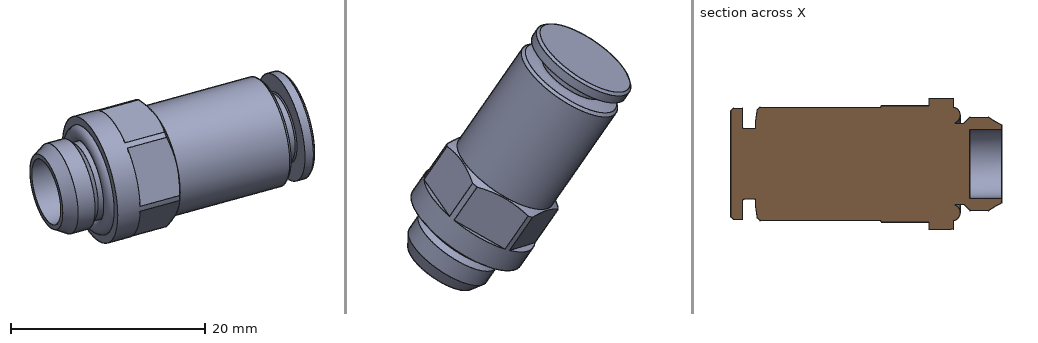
import cadquery as cq
import math

length = 27.9

tip_radius = 4.02
thread_radius = 4.83
relief_radius = 4.18
tip_chamfer_length = 1.37
thread_end = 3.3
relief_start = thread_end + thread_radius - relief_radius
bore_radius = 3.52
bore_depth = 3.3

seal_front = 4.27
seal_center_radius = 5.02
seal_section_radius = 0.86

flange_radius = 6.75
flange_front = 4.97
flange_back = 7.5
hex_across_flats = 12.0
hex_sides = 6
hex_back = 12.47
hex_chamfer_angle = math.radians(30)

body_radius = 5.85
body_chamfer = 0.3
body_chamfer_end = 25.2
body_end = 25.4
end_face_radius = 4.18

collar_neck_radius = 3.65
collar_radius = 5.75
collar_front = 26.67
collar_edge_chamfer = 0.28
neck_flare = 0.15


def turned(points):
    """Revolve a closed (radius, y) outline about the Y axis."""
    return cq.Workplane("XY").polyline(points).close().revolve(360, (0, 0, 0), (0, 1, 0))


def make_spigot():
    return turned([
        (0, 0),
        (tip_radius, 0),
        (thread_radius, tip_chamfer_length),
        (thread_radius, thread_end),
        (relief_radius, relief_start),
        (relief_radius, flange_front),
        (0, flange_front),
    ])


def make_seal():
    """Round-section ring, partly sunk into the flange and the spigot relief."""
    return (
        cq.Workplane("XY")
        .center(seal_center_radius, seal_front + seal_section_radius)
        .circle(seal_section_radius)
        .revolve(360, (-seal_center_radius, 0, 0), (-seal_center_radius, 1, 0))
    )


def make_flange():
    return turned([
        (0, flange_front),
        (flange_radius, flange_front),
        (flange_radius, flange_back),
        (0, flange_back),
    ])


def make_hexagon():
    """Hexagon with flats facing +Z and -Z, rounded at the corners and chamfered behind."""
    chamfer_length = (flange_radius - body_radius) * math.tan(hex_chamfer_angle)
    envelope = turned([
        (0, flange_back),
        (flange_radius, flange_back),
        (flange_radius, hex_back - chamfer_length),
        (body_radius, hex_back),
        (0, hex_back),
    ])
    across_corners = hex_across_flats / math.cos(math.pi / hex_sides)
    prism = (
        cq.Workplane("XZ", origin=(0, flange_back, 0))
        .polygon(hex_sides, across_corners)
        .extrude(flange_back - hex_back)
    )
    return envelope.intersect(prism)


def make_body():
    return turned([
        (0, flange_back),
        (body_radius, flange_back),
        (body_radius, body_chamfer_end - body_chamfer),
        (body_radius - body_chamfer, body_chamfer_end),
        (end_face_radius, body_end),
        (0, body_end),
    ])


def make_collar():
    return turned([
        (0, body_end),
        (collar_neck_radius, body_end),
        (collar_neck_radius, collar_front - neck_flare),
        (collar_neck_radius + neck_flare, collar_front),
        (collar_radius, collar_front),
        (collar_radius, length - collar_edge_chamfer),
        (collar_radius - collar_edge_chamfer, length),
        (0, length),
    ])


def make_bore():
    return cq.Workplane("XZ").circle(bore_radius).extrude(-bore_depth)


result = (
    make_spigot()
    .union(make_flange())
    .union(make_seal())
    .union(make_hexagon())
    .union(make_body())
    .union(make_collar())
    .cut(make_bore())
)